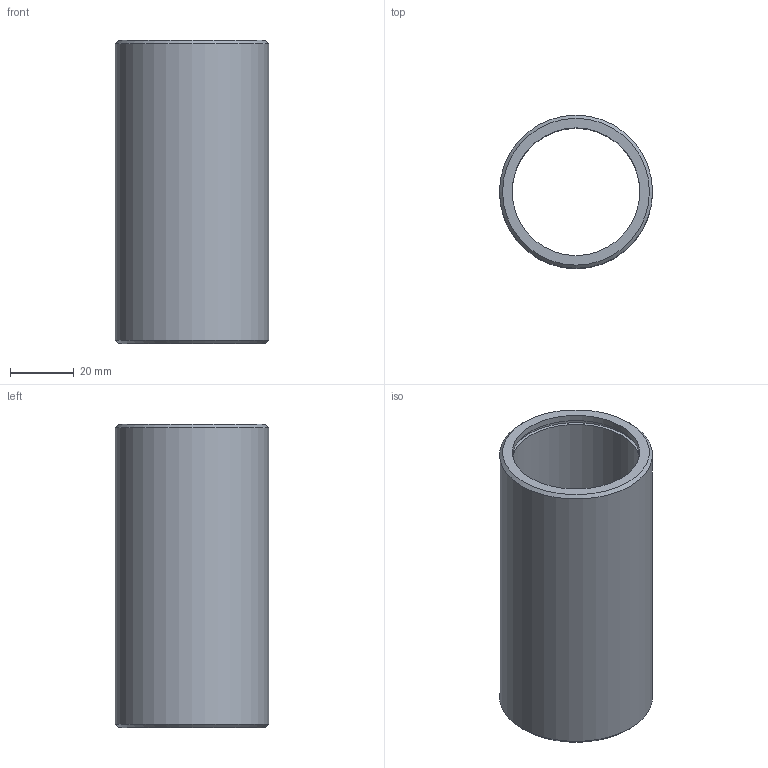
import cadquery as cq

outer_diameter = 48.0
bore_diameter = 40.0
length = 95.0
end_chamfer = 1.0

groove_lip = 2.0
groove_width = 1.5
groove_depth = 1.0


def make_sleeve():
    """Plain tube standing on the XY plane, chamfered on both outer rims."""
    body = cq.Workplane("XY").circle(outer_diameter / 2).extrude(length)
    body = body.faces("<Z or >Z").chamfer(end_chamfer)
    return body.faces(">Z").workplane().hole(bore_diameter)


def make_groove_cutter():
    """Disc that cuts the groove into the bore wall."""
    groove_floor = length - groove_lip - groove_width
    groove_radius = bore_diameter / 2 + groove_depth
    return cq.Workplane("XY").workplane(offset=groove_floor).circle(groove_radius).extrude(groove_width)


result = make_sleeve().cut(make_groove_cutter())